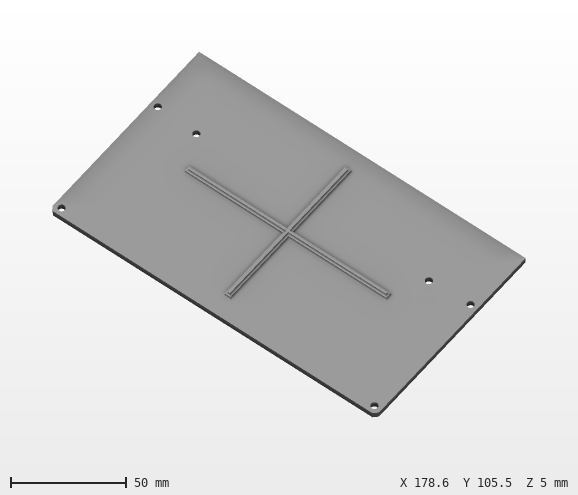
import cadquery as cq
import math

plate_length = 178.6
plate_width = 105.5
total_height = 5.0
rib_height = 2.0
plate_thickness = total_height - rib_height
corner_chamfer = 2.0

long_rib_length = 112.0
short_rib_length = 87.0
rib_width = 5.0
coves_per_flank = 2
cross_center_y = 0.2
cove_radius = rib_height / coves_per_flank

hole_diameter = 3.5
edge_hole_x = 85.5
edge_hole_rows = (18.8, -49.1)
inner_hole_x = 63.5
inner_hole_y = 17.7


def make_plate():
    """Flat plate with its two front corners chamfered."""
    plate = cq.Workplane("XY").rect(plate_length, plate_width).extrude(plate_thickness)
    return plate.edges("|Z and <Y").chamfer(corner_chamfer)


def coved_bar(plane, base_width, length):
    """Bar with coved flanks, base_width wide across the plane and extruded along its normal."""
    half_width = base_width / 2
    diagonal = cove_radius * math.sqrt(0.5)
    profile = cq.Workplane(plane, origin=(0, 0, plate_thickness)).moveTo(half_width, 0)
    for tier in range(coves_per_flank):
        center_x = half_width - tier * cove_radius
        center_z = (tier + 1) * cove_radius
        profile = profile.threePointArc(
            (center_x - diagonal, center_z - diagonal), (center_x - cove_radius, center_z)
        )
    profile = profile.lineTo(-half_width + coves_per_flank * cove_radius, rib_height)
    for tier in reversed(range(coves_per_flank)):
        center_x = -half_width + tier * cove_radius
        center_z = (tier + 1) * cove_radius
        profile = profile.threePointArc(
            (center_x + diagonal, center_z - diagonal), (center_x, center_z - cove_radius)
        )
    return profile.close().extrude(length / 2, both=True)


def make_rib(length):
    """Rib along X; crossing two coved bars gives coved ends and mitred corners."""
    coved_sides = coved_bar("YZ", rib_width, length)
    coved_ends = coved_bar("XZ", length, rib_width)
    return coved_sides.intersect(coved_ends)


def drill_holes(body):
    """Cut the four edge holes and the two inner holes."""
    centers = [(side * edge_hole_x, y) for side in (-1, 1) for y in edge_hole_rows]
    centers += [(side * inner_hole_x, inner_hole_y) for side in (-1, 1)]
    holes = cq.Workplane("XY").pushPoints(centers).circle(hole_diameter / 2).extrude(plate_thickness)
    return body.cut(holes)


long_rib = make_rib(long_rib_length)
short_rib = make_rib(short_rib_length).rotate((0, 0, 0), (0, 0, 1), 90)
rib_cross = long_rib.union(short_rib).translate((0, cross_center_y, 0))
result = drill_holes(make_plate()).union(rib_cross)